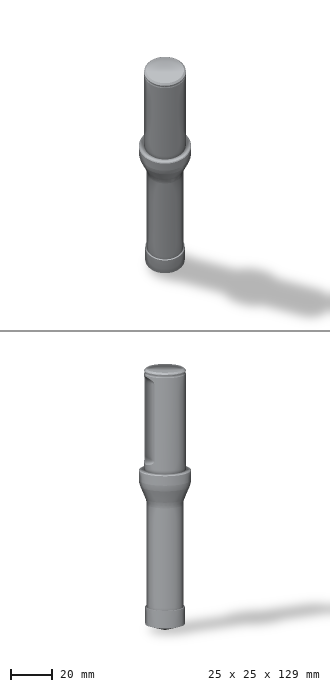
import cadquery as cq

total_length = 129.0

tip_diameter = 19.0
point_height = 3.1
tip_height = 11.6

body_diameter = 17.5
flange_diameter = 25.0
flange_top = 79.2
flange_chamfer = 0.4
taper_top = 72.6
taper_bottom = 63.6
taper_blend_radius = 7.6

shank_diameter = 20.0
end_chamfer_width = 0.9
end_chamfer_height = 0.8
groove_top = 127.8
groove_bottom = 126.5
groove_depth = 0.19

flat_depth = 1.9
flat_run_out_top = 125.9
flat_run_out_bottom = 82.4
flat_corner_radius = 4.3 / 2

tip_radius = tip_diameter / 2
body_radius = body_diameter / 2
flange_radius = flange_diameter / 2
shank_radius = shank_diameter / 2


def revolve_about_z(profile_points):
    """Revolve a closed (radius, z) outline about the Z axis."""
    return (
        cq.Workplane("XZ")
        .polyline(profile_points)
        .close()
        .revolve(360, (0, 0, 0), (0, 1, 0))
    )


def make_tip():
    """Cylindrical cutting head ending in a shallow conical point."""
    return revolve_about_z([
        (0, 0),
        (tip_radius, point_height),
        (tip_radius, tip_height),
        (0, tip_height),
    ])


def ring_at(z, radius):
    """Selector for the circular edge of the given radius at height z."""
    margin = 0.06
    reach = radius + margin
    return cq.selectors.BoxSelector(
        (-reach, -reach, z - margin), (reach, reach, z + margin), boundingbox=True
    )


def make_turned_holder():
    """Slim body, tapered flange and shank as one turned shape."""
    turned = revolve_about_z([
        (0, tip_height),
        (body_radius, tip_height),
        (body_radius, taper_bottom),
        (flange_radius, taper_top),
        (flange_radius, flange_top - flange_chamfer),
        (flange_radius - flange_chamfer, flange_top),
        (shank_radius, flange_top),
        (shank_radius, total_length - end_chamfer_height),
        (shank_radius - end_chamfer_width, total_length),
        (0, total_length),
    ])
    turned = turned.edges(ring_at(taper_top, flange_radius)).fillet(taper_blend_radius)
    return turned.edges(ring_at(taper_bottom, body_radius)).fillet(taper_blend_radius)


def make_groove_cutter():
    """Ring that cuts a shallow round-bottomed groove near the shank end."""
    groove_middle = (groove_top + groove_bottom) / 2
    return (
        cq.Workplane("XZ")
        .moveTo(shank_radius, groove_bottom)
        .threePointArc((shank_radius - groove_depth, groove_middle), (shank_radius, groove_top))
        .lineTo(flange_radius, groove_top)
        .lineTo(flange_radius, groove_bottom)
        .close()
        .revolve(360, (0, 0, 0), (0, 1, 0))
    )


def make_flat_cutter():
    """Trapezoidal prism along X that cuts the clamping flat."""
    flat_y = shank_radius - flat_depth
    cutter = (
        cq.Workplane("YZ")
        .polyline([
            (flat_y, flat_run_out_bottom + flat_depth),
            (flat_y, flat_run_out_top - flat_depth),
            (shank_radius, flat_run_out_top),
            (shank_radius, flat_run_out_bottom),
        ])
        .close()
        .extrude(shank_radius, both=True)
    )
    return cutter.faces("<Y").edges("|X").fillet(flat_corner_radius)


tip = make_tip()
holder = make_turned_holder().cut(make_groove_cutter()).cut(make_flat_cutter())

result = cq.Compound.makeCompound([tip.val(), *holder.vals()])